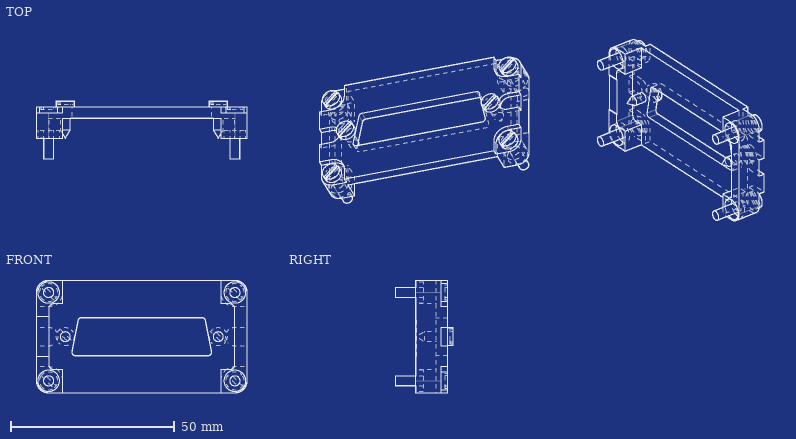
import cadquery as cq

body_length = 64.5
body_height = 34.5
body_depth = 9.75
corner_radius = 3.75
plate_thickness = 3.5

bar_width = 3.8
pad_width = 8.05
pad_height = 7.15
pad_fillet = 1.55

window_height = 11.55
window_bottom_length = 43.1
window_top_length = 38.6
window_fillet = 0.95

pin_radius = 1.55
pin_projection = 6.25
corner_head_radius = 2.8
corner_slot_depth = 0.85
front_bore_radius = 3.3
front_bore_depth = 2.45
recess_depth = 1.95
recess_radius = pad_width - corner_radius

middle_screw_x = 23.4
middle_shank_diameter = 3.0
middle_head_radius = 2.8
middle_head_height = 1.75
middle_slot_depth = 1.0
tip_base_y = 2.65
tip_end_y = 0.1
side_slot_radius = 2.85

driver_slot_width = 1.0
driver_slot_angle = 45.0

label_height = 12.25
label_depth = 0.2

half_length = body_length / 2
half_height = body_height / 2
corner_screw_x = half_length - corner_radius
corner_screw_z = half_height - corner_radius
plate_front = body_depth - plate_thickness
recess_floor = body_depth - recess_depth
sides = (-1, 1)
corners = [(sx, sz) for sx in sides for sz in sides]


def box(x_range, y_range, z_range):
    """Box spanning the given ranges, whose ends may come in either order."""
    spans = [(min(r), max(r)) for r in (x_range, y_range, z_range)]
    sizes = [high - low for low, high in spans]
    lows = tuple(low for low, high in spans)
    return cq.Workplane("XY").box(*sizes, centered=False).translate(lows)


def cylinder(x, z, radius, y_start, y_end):
    """Cylinder along Y."""
    solid = cq.Solid.makeCylinder(radius, y_end - y_start, cq.Vector(x, y_start, z), cq.Vector(0, 1, 0))
    return cq.Workplane(obj=solid)


def plane_at(y):
    """Plane parallel to XZ at the given y; negative distances extrude toward +Y."""
    return cq.Workplane("XZ", origin=(0, y, 0))


def frame_block():
    block = plane_at(0).rect(body_length, body_height).extrude(-body_depth)
    return block.edges("|Y").fillet(corner_radius)


def front_relief():
    """Cross-shaped space in front of the plate."""
    pad_inner_x = half_length - pad_width
    pad_inner_z = half_height - pad_height
    bar_inner_x = half_length - bar_width
    depth = (0, plate_front)
    middle = box((-bar_inner_x, bar_inner_x), depth, (-pad_inner_z, pad_inner_z))
    middle = middle.edges("|Y").fillet(pad_fillet)
    return middle.union(box((-pad_inner_x, pad_inner_x), depth, (-half_height, half_height)))


def connector_window():
    bottom = window_bottom_length / 2
    top = window_top_length / 2
    z = window_height / 2
    outline = [(-bottom, -z), (bottom, -z), (top, z), (-top, z)]
    window = plane_at(plate_front).polyline(outline).close().extrude(-plate_thickness)
    return window.edges("|Y").fillet(window_fillet)


def corner_recess(sx, sz):
    """Back recess open to both outer sides, rounded at its inner corner."""
    inner_x = sx * (corner_screw_x - recess_radius)
    inner_z = sz * (corner_screw_z - recess_radius)
    recess = box((inner_x, sx * half_length), (recess_floor, body_depth), (inner_z, sz * half_height))
    inner_edge = cq.selectors.NearestToPointSelector((inner_x, recess_floor + recess_depth / 2, inner_z))
    return recess.edges("|Y").edges(inner_edge).fillet(recess_radius)


def side_slot(sx):
    """Round-ended slot in the back face, open to the outer side."""
    end_x = sx * corner_screw_x
    depth = (recess_floor, body_depth)
    slot = box((end_x, sx * half_length), depth, (-side_slot_radius, side_slot_radius))
    return slot.union(cylinder(end_x, 0, side_slot_radius, *depth))


def label_panel():
    label_end = label_height / 2
    return box((-half_length, bar_width - half_length), (0, label_depth), (-label_end, label_end))


def screw_head(x, z, radius, base_y, height, slot_depth):
    """Cylindrical head with a straight driver slot in its top."""
    top_y = base_y + height
    head = cylinder(x, z, radius, base_y, top_y)
    slot = box(
        (-radius, radius),
        (top_y - slot_depth, top_y),
        (-driver_slot_width / 2, driver_slot_width / 2),
    )
    slot = slot.rotate((0, 0, 0), (0, 1, 0), driver_slot_angle).translate((x, 0, z))
    return head.cut(slot)


def corner_screw(sx, sz):
    x = sx * corner_screw_x
    z = sz * corner_screw_z
    pin = cylinder(x, z, pin_radius, -pin_projection, recess_floor)
    head = screw_head(x, z, corner_head_radius, recess_floor, recess_depth, corner_slot_depth)
    return pin.union(head)


def middle_screw(sx):
    shank_radius = middle_shank_diameter / 2
    profile = [
        (0, tip_end_y),
        (shank_radius, tip_base_y),
        (shank_radius, body_depth),
        (0, body_depth),
    ]
    shank = cq.Workplane("XY").polyline(profile).close().revolve(360, (0, 0), (0, 1))
    x = sx * middle_screw_x
    head = screw_head(x, 0, middle_head_radius, body_depth, middle_head_height, middle_slot_depth)
    return shank.translate((x, 0, 0)).union(head)


result = frame_block().cut(front_relief()).cut(connector_window()).cut(label_panel())

for sx, sz in corners:
    bore = cylinder(sx * corner_screw_x, sz * corner_screw_z, front_bore_radius, 0, front_bore_depth)
    result = result.cut(bore).cut(corner_recess(sx, sz)).union(corner_screw(sx, sz))

for sx in sides:
    result = result.cut(side_slot(sx)).union(middle_screw(sx))